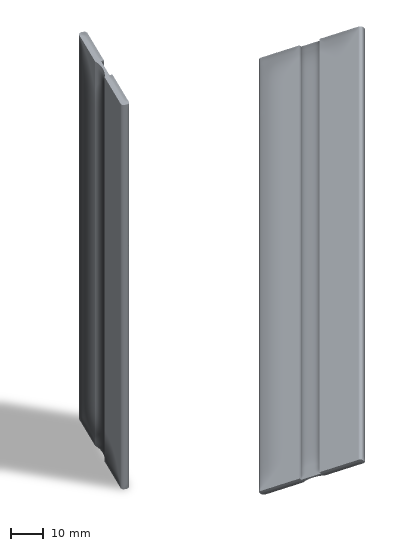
import cadquery as cq

length = 150.0
thickness = 2.7
edge_radius = 1.0
front_face_width = 13.8

round_groove_width = 8.4
round_groove_depth = 0.96
flat_groove_width = 7.4
flat_groove_depth = 0.95

width = 2 * (edge_radius + front_face_width) + round_groove_width
front_y = -thickness / 2
back_y = thickness / 2


def make_strip():
    """Flat strip standing along Z with its long edges rounded."""
    strip = cq.Workplane("XY").box(width, thickness, length)
    return strip.edges("|Z").fillet(edge_radius)


def make_flat_groove():
    """Rectangular channel for the back face, running the full length."""
    cutter = cq.Workplane("XY").box(flat_groove_width, 2 * flat_groove_depth, length)
    return cutter.translate((0, back_y, 0))


def make_round_groove():
    """Shallow circular-arc channel for the front face, running the full length."""
    half_width = round_groove_width / 2
    return (
        cq.Workplane("XY", origin=(0, 0, -length / 2))
        .moveTo(-half_width, front_y)
        .threePointArc((0, front_y + round_groove_depth), (half_width, front_y))
        .close()
        .extrude(length)
    )


result = make_strip().cut(make_flat_groove()).cut(make_round_groove())